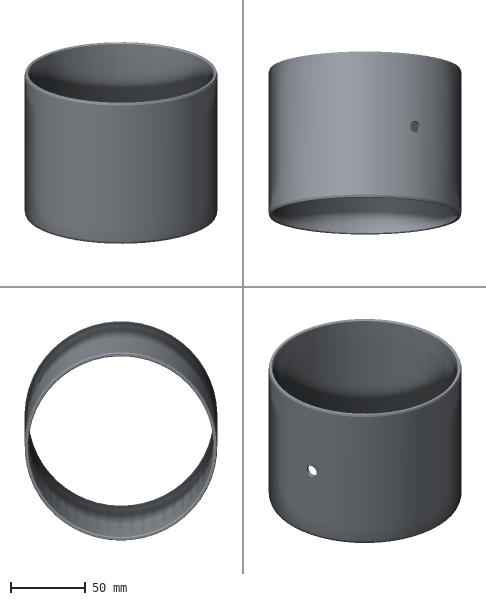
import cadquery as cq

outer_diameter = 130.0
height = 100.0
wall = 2.5
outer_chamfer_width = 0.5
outer_chamfer_length = 1.4
inner_chamfer = 0.5
hole_diameter = 8.0

outer_radius = outer_diameter / 2
inner_radius = outer_radius - wall


def make_sleeve():
    """Thin tube along Z, with steep outer and 45 degree inner chamfers on both rims."""
    wall_section = [
        (inner_radius + inner_chamfer, 0),
        (outer_radius - outer_chamfer_width, 0),
        (outer_radius, outer_chamfer_length),
        (outer_radius, height - outer_chamfer_length),
        (outer_radius - outer_chamfer_width, height),
        (inner_radius + inner_chamfer, height),
        (inner_radius, height - inner_chamfer),
        (inner_radius, inner_chamfer),
    ]
    return cq.Workplane("YZ").polyline(wall_section).close().revolve(360, (0, 0), (0, 1))


def make_radial_hole():
    """Cutter for the mid-height hole through the +Y wall only."""
    return (
        cq.Workplane("XZ")
        .center(0, height / 2)
        .circle(hole_diameter / 2)
        .extrude(-outer_diameter)
    )


result = make_sleeve().cut(make_radial_hole())